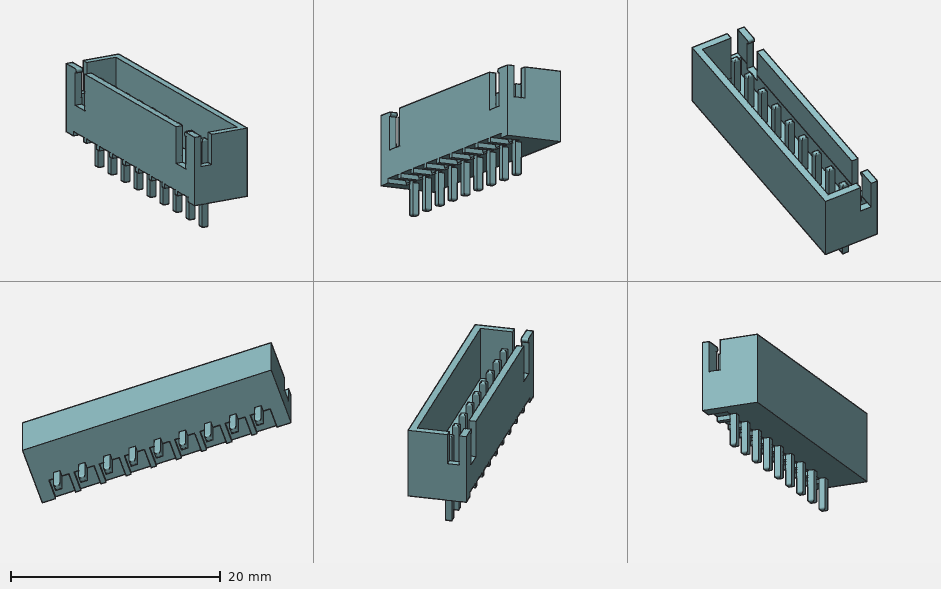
import cadquery as cq

housing_length = 25.12
housing_width = 5.75
housing_height = 6.88
front_wall = 0.73
back_wall = 0.73
side_wall = 0.73
cavity_depth = 5.22

front_slot_offset = 1.75
front_slot_width = 1.88
front_slot_depth = 3.7
latch_bump_radius = 0.23

side_slot_front = 0.7
side_slot_width = 1.15
side_slot_depth = 3.05

pin_count = 9
pin_row_length = 20.32
pin_pitch = pin_row_length / (pin_count - 1)
pin_size = 0.65
pin_row_y = 2.29
pin_row_x = 0.038
pin_below_housing = 3.2
pin_top_below_rim = 1.18
pin_tip_radius = 0.2

notch_width = 2.0
notch_height = 0.45
notch_back_wall_height = 0.18
notch_slope_run = 0.13
pin_proud_of_notch = 0.03
notch_depth = pin_row_y - pin_size / 2 + pin_proud_of_notch

first_pin_x = pin_row_x - pin_row_length / 2
pin_positions_x = [first_pin_x + i * pin_pitch for i in range(pin_count)]


def box(x_min, y_min, z_min, length, width, height):
    """Box placed by its lowest corner."""
    return cq.Workplane("XY").box(length, width, height, centered=False).translate((x_min, y_min, z_min))


def make_shell():
    shell = box(-housing_length / 2, 0, 0, housing_length, housing_width, housing_height)
    cavity = box(
        side_wall - housing_length / 2,
        front_wall,
        housing_height - cavity_depth,
        housing_length - 2 * side_wall,
        housing_width - front_wall - back_wall,
        cavity_depth,
    )
    return shell.cut(cavity)


def make_side_slots():
    """One bar through both side walls."""
    return box(
        -housing_length / 2,
        side_slot_front,
        housing_height - side_slot_depth,
        housing_length,
        side_slot_width,
        side_slot_depth,
    )


def make_left_front_slot():
    """Slot with a half-round latch bump left standing at the top of its outer wall."""
    outer_wall_x = front_slot_offset - housing_length / 2
    slot = box(
        outer_wall_x,
        0,
        housing_height - front_slot_depth,
        front_slot_width,
        front_wall,
        front_slot_depth,
    )
    bump = (
        cq.Workplane("XZ")
        .center(outer_wall_x, housing_height - latch_bump_radius)
        .circle(latch_bump_radius)
        .extrude(-front_wall)
    )
    return slot.cut(bump)


def repeat_at_pins(shape):
    """Copies of a shape moved along X to every pin position."""
    copies = cq.Workplane("XY")
    for x in pin_positions_x:
        copies = copies.add(shape.translate((x, 0, 0)))
    return copies.combine()


def make_notches():
    """Reliefs open at the front, with a slope between the ceiling and the back wall."""
    profile = [
        (0, 0),
        (0, notch_height),
        (notch_depth - notch_slope_run, notch_height),
        (notch_depth, notch_back_wall_height),
        (notch_depth, 0),
    ]
    notch = cq.Workplane("YZ").polyline(profile).close().extrude(notch_width / 2, both=True)
    return repeat_at_pins(notch)


def make_pins():
    """Square pins with rounded tips."""
    pin_length = pin_below_housing + housing_height - pin_top_below_rim
    pin = (
        cq.Workplane("XY", origin=(0, pin_row_y, -pin_below_housing))
        .rect(pin_size, pin_size)
        .extrude(pin_length)
        .faces("<Z or >Z")
        .edges()
        .fillet(pin_tip_radius)
    )
    return repeat_at_pins(pin)


front_slot = make_left_front_slot()
housing = (
    make_shell()
    .cut(make_side_slots())
    .cut(front_slot)
    .cut(front_slot.mirror("YZ"))
    .cut(make_notches())
)
result = housing.union(make_pins())